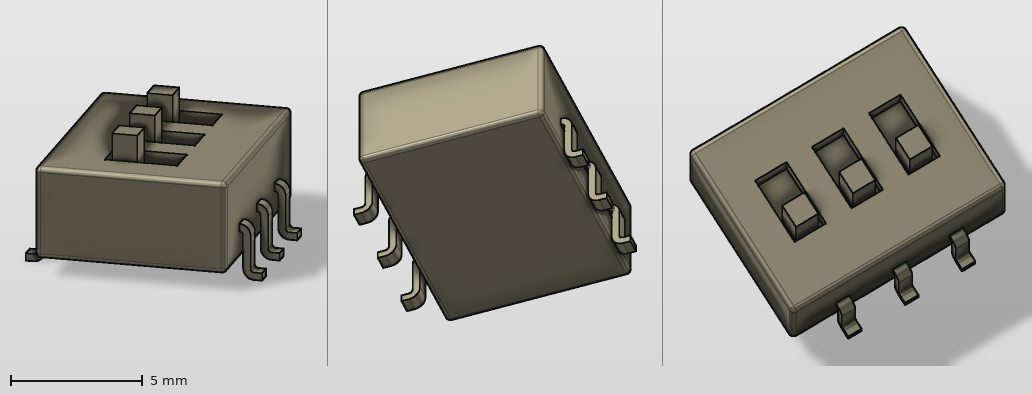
import cadquery as cq

BODY_X = 7.5
BODY_Y = 9.6
BODY_Z = 3.65
BODY_BOTTOM = 0.8
BODY_TOP = BODY_BOTTOM + BODY_Z
EDGE_RADIUS = 0.2

POSITIONS = 3
PITCH = 2.54
position_ys = [(i - (POSITIONS - 1) / 2) * PITCH for i in range(POSITIONS)]

KNOB_SIDE = 1.0
KNOB_RISE = 1.0
KNOB_GAP = 0.2
WINDOW_X = 2.85
WINDOW_Y = KNOB_SIDE + 2 * KNOB_GAP
WINDOW_DEPTH = 0.9
KNOB_X = -0.7

PLATE_X = WINDOW_X
PLATE_Y = (POSITIONS - 1) * PITCH + WINDOW_Y
PLATE_THICKNESS = 0.5
PLATE_TOP = BODY_TOP - WINDOW_DEPTH
PLATE_BOTTOM = PLATE_TOP - PLATE_THICKNESS

LEAD_SPAN = 9.3
LEAD_WIDTH = 0.6
LEAD_THICKNESS = 0.3
LEAD_TOP = 2.2
OUTER_BEND = 0.45
INNER_BEND = OUTER_BEND - LEAD_THICKNESS
TOE_X = LEAD_SPAN / 2
ROOT_X = BODY_X / 2
SHANK_OUT = ROOT_X + OUTER_BEND
SHANK_IN = SHANK_OUT - LEAD_THICKNESS


def box(x_size, y_size, bottom, top):
    """Box centred on the Z axis between two heights."""
    return cq.Workplane("XY").workplane(offset=bottom).rect(x_size, y_size).extrude(top - bottom)


def make_plate():
    return box(PLATE_X, PLATE_Y, PLATE_BOTTOM, PLATE_TOP)


def make_housing():
    """Rounded block with a window over each knob and a hollow for the plate."""
    housing = box(BODY_X, BODY_Y, BODY_BOTTOM, BODY_TOP).edges().fillet(EDGE_RADIUS)
    window = box(WINDOW_X, WINDOW_Y, PLATE_TOP, BODY_TOP)
    for y in position_ys:
        housing = housing.cut(window.translate((0, y, 0)))
    return housing.cut(make_plate())


def make_slider():
    """One piece: the plate with a square knob at every switch position."""
    slider = make_plate()
    knob = box(KNOB_SIDE, KNOB_SIDE, PLATE_BOTTOM, BODY_TOP + KNOB_RISE)
    for y in position_ys:
        slider = slider.union(knob.translate((KNOB_X, y, 0)))
    return slider


def make_lead():
    """Lead on the +X side, its root flush against the housing wall."""
    inner_top = LEAD_TOP - LEAD_THICKNESS
    profile = (
        cq.Workplane("XZ")
        .moveTo(TOE_X, 0)
        .lineTo(TOE_X, LEAD_THICKNESS)
        .lineTo(SHANK_OUT + INNER_BEND, LEAD_THICKNESS)
        .radiusArc((SHANK_OUT, LEAD_THICKNESS + INNER_BEND), INNER_BEND)
        .lineTo(SHANK_OUT, LEAD_TOP - OUTER_BEND)
        .radiusArc((ROOT_X, LEAD_TOP), -OUTER_BEND)
        .lineTo(ROOT_X, inner_top)
        .radiusArc((SHANK_IN, inner_top - INNER_BEND), INNER_BEND)
        .lineTo(SHANK_IN, OUTER_BEND)
        .radiusArc((SHANK_IN + OUTER_BEND, 0), -OUTER_BEND)
        .close()
    )
    return profile.extrude(LEAD_WIDTH / 2, both=True)


housing = make_housing()
slider = make_slider()
right_lead = make_lead()
left_lead = right_lead.mirror("YZ")
leads = [lead.translate((0, y, 0)) for y in position_ys for lead in (left_lead, right_lead)]

result = cq.Compound.makeCompound([housing.val(), slider.val(), *[lead.val() for lead in leads]])